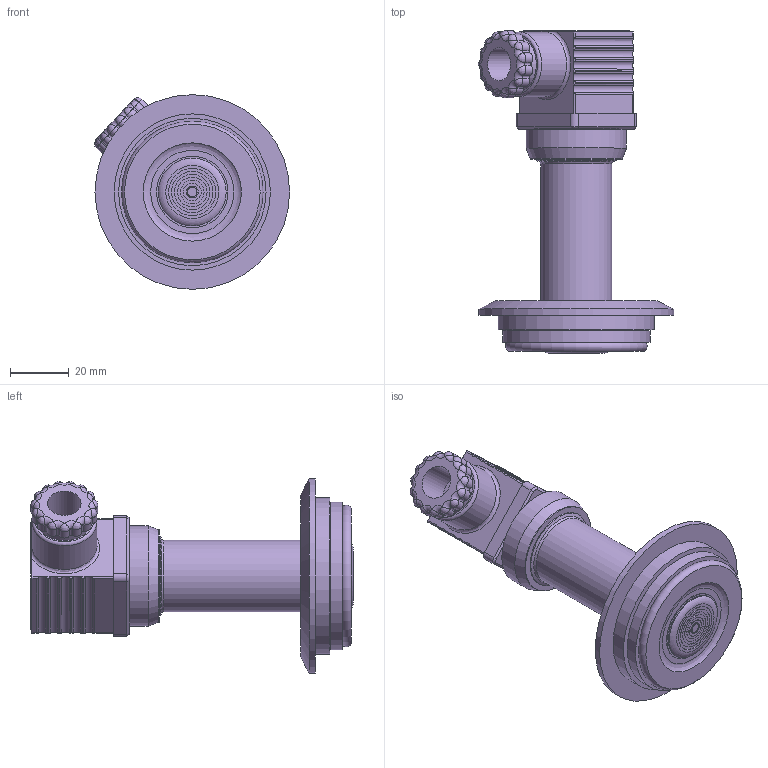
import cadquery as cq
import math


tube_diameter = 24.2
flange_diameter = 66.0
flange_cone_end_diameter = 54.8
flange_rear_y = 17.75
flange_cone_y = 15.0
flange_front_y = 12.9
large_step_diameter = 53.0
large_step_y = 7.95
small_step_diameter = 50.0
small_step_y = 3.7
small_step_top_y = 7.65
step_groove_diameter = 49.0
plug_face_diameter = 46.0
plug_bulge_diameter = 48.0
plug_bulge_y = 2.4
plug_foot_diameter = 47.0
plug_face_y = 0.7

recess_diameter = 33.3
recess_floor_diameter = 28.2
recess_wall_radius = 3.2
recess_floor_y = 1.7
boss_diameter = 23.0
boss_flat_diameter = 18.0
boss_edge_radius = 3.5
boss_foot_diameter = 24.2
boss_foot_y = 1.5
membrane_groove_radii = [(1.6, 2.0), (3.0, 4.0), (5.0, 6.0), (7.0, 8.0)]
membrane_groove_depth = 0.1

collar_diameter = 34.0
collar_small_diameter = 31.3
collar_neck_diameter = 27.0
collar_ledge_diameter = 25.0
collar_gap_diameter = 33.0
collar_top_y = 76.05
collar_gap_y = 75.8
collar_cone_y = 69.6
collar_rim_y = 66.05
collar_bottom_y = 65.75
collar_neck_y = 65.4
collar_ledge_y = 65.0
tube_end_y = 64.2

base_side = 30.0
base_corner_radius = 2.0
base_chamfer = 0.7
base_top_y = 81.3
block_side = 27.7
block_corner_radius = 0.5
lid_side = 27.2
lid_corner_radius = 3.0
lid_height = 0.42
connector_top_y = 109.38
block_top_y = connector_top_y - lid_height

groove_count = 5
groove_pitch = 3.95
groove_middle_y = 97.6
groove_width = 3.75
groove_depth = 0.7
groove_bottom_radius = 1.83

gland_y = 97.97
gland_diameter = 21.9
gland_end_z = 27.5
gland_edge_radius = 1.0
gland_root_radius = 1.0
neck_diameter = 18.8
knob_start_z = 30.9
knob_end_z = 36.0
cable_hole_diameter = 11.3
cable_hole_depth = 14.0
connector_turn = -46.7

lobe_count = 15
lobe_radius = 2.0
lobe_circle_radius = 9.42
valley_radius = 0.7
lobe_edge_radius = 1.98
first_lobe_angle = 180.0


def polar(radius, angle):
    """Point at a radius and an angle in degrees."""
    return (radius * math.cos(math.radians(angle)), radius * math.sin(math.radians(angle)))


def make_sensor():
    """Flange, tube and collar as one turned body about Y."""
    profile = (
        cq.Workplane("XY")
        .moveTo(0, recess_floor_y)
        .lineTo(recess_floor_diameter / 2, recess_floor_y)
        .radiusArc((recess_diameter / 2, plug_face_y), recess_wall_radius)
        .lineTo(plug_face_diameter / 2, plug_face_y)
        .threePointArc((plug_bulge_diameter / 2, plug_bulge_y), (plug_foot_diameter / 2, small_step_y))
        .lineTo(small_step_diameter / 2, small_step_y)
        .lineTo(small_step_diameter / 2, small_step_top_y)
        .lineTo(step_groove_diameter / 2, small_step_top_y)
        .lineTo(step_groove_diameter / 2, large_step_y)
        .lineTo(large_step_diameter / 2, large_step_y)
        .lineTo(large_step_diameter / 2, flange_front_y)
        .lineTo(flange_diameter / 2, flange_front_y)
        .lineTo(flange_diameter / 2, flange_cone_y)
        .lineTo(flange_cone_end_diameter / 2, flange_rear_y)
        .lineTo(tube_diameter / 2, flange_rear_y)
        .lineTo(tube_diameter / 2, tube_end_y)
        .lineTo(collar_ledge_diameter / 2, collar_ledge_y)
        .lineTo(collar_neck_diameter / 2, collar_neck_y)
        .lineTo(collar_neck_diameter / 2, collar_bottom_y)
        .lineTo(collar_small_diameter / 2, collar_bottom_y)
        .lineTo(collar_small_diameter / 2, collar_rim_y)
        .lineTo(collar_diameter / 2, collar_cone_y)
        .lineTo(collar_diameter / 2, collar_gap_y)
        .lineTo(collar_gap_diameter / 2, collar_gap_y)
        .lineTo(collar_gap_diameter / 2, collar_top_y)
        .lineTo(0, collar_top_y)
        .close()
    )
    body = profile.revolve(360, (0, 0, 0), (0, 1, 0))
    return body.union(make_membrane_boss())


def make_membrane_boss():
    """Rounded boss in the recess, with shallow ring grooves in its face."""
    boss_edge_width = (boss_diameter - boss_flat_diameter) / 2
    boss_edge_height = boss_edge_radius - math.sqrt(boss_edge_radius**2 - boss_edge_width**2)
    boss = (
        cq.Workplane("XY")
        .lineTo(boss_flat_diameter / 2, 0)
        .radiusArc((boss_diameter / 2, boss_edge_height), -boss_edge_radius)
        .lineTo(boss_diameter / 2, boss_foot_y)
        .lineTo(boss_foot_diameter / 2, boss_foot_y)
        .lineTo(boss_foot_diameter / 2, flange_front_y)
        .lineTo(0, flange_front_y)
        .close()
        .revolve(360, (0, 0, 0), (0, 1, 0))
    )
    for inner_radius, outer_radius in membrane_groove_radii:
        ring = (
            cq.Workplane("XZ")
            .circle(outer_radius)
            .circle(inner_radius)
            .extrude(-membrane_groove_depth)
        )
        boss = boss.cut(ring)
    return boss


def square_block(side, corner_radius, start_y, end_y):
    """Square prism along Y with rounded corners."""
    return (
        cq.Workplane("XZ", origin=(0, start_y, 0))
        .rect(side, side)
        .extrude(start_y - end_y)
        .edges("|Y")
        .fillet(corner_radius)
    )


def grip_groove(middle_y):
    """Wave-shaped groove through the +X side of the block, with rounded ridges."""
    face_x = block_side / 2
    half_width = groove_width / 2
    radius_sum = (half_width**2 + groove_depth**2) / (2 * groove_depth)
    ridge_radius = radius_sum - groove_bottom_radius
    tangent_share = ridge_radius / radius_sum
    tangent_x = face_x - groove_depth * tangent_share
    tangent_y = half_width * (1 - tangent_share)
    return (
        cq.Workplane("XY", origin=(0, middle_y, -block_side))
        .moveTo(face_x, -half_width)
        .radiusArc((tangent_x, -tangent_y), -ridge_radius)
        .radiusArc((tangent_x, tangent_y), groove_bottom_radius)
        .radiusArc((face_x, half_width), -ridge_radius)
        .close()
        .extrude(2 * block_side)
    )


def make_block():
    """Square base, grooved block and thin lid of the connector."""
    base = square_block(base_side, base_corner_radius, collar_top_y, base_top_y)
    base = base.faces("<Y").edges().chamfer(base_chamfer)
    block = square_block(block_side, block_corner_radius, base_top_y, block_top_y)
    lid = square_block(lid_side, lid_corner_radius, block_top_y, connector_top_y)
    for index in range(groove_count):
        offset = (index - (groove_count - 1) / 2) * groove_pitch
        groove = grip_groove(groove_middle_y + offset)
        block = block.cut(groove).cut(groove.mirror("YZ"))
    return base.union(block).union(lid)


def make_gland():
    """Turned gland barrel with a flared root and a neck below the knob."""
    face_z = block_side / 2
    barrel_radius = gland_diameter / 2
    barrel = (
        cq.Workplane("XZ")
        .lineTo(barrel_radius + gland_root_radius, 0)
        .lineTo(barrel_radius + gland_root_radius, face_z)
        .radiusArc((barrel_radius, face_z + gland_root_radius), gland_root_radius)
        .lineTo(barrel_radius, gland_end_z - gland_edge_radius)
        .radiusArc((barrel_radius - gland_edge_radius, gland_end_z), -gland_edge_radius)
        .lineTo(neck_diameter / 2, gland_end_z)
        .lineTo(neck_diameter / 2, knob_start_z)
        .lineTo(0, knob_start_z)
        .close()
        .revolve(360, (0, 0, 0), (0, 1, 0))
        .translate((0, gland_y, 0))
    )
    below_top = cq.Workplane("XY").box(
        base_side, block_top_y - base_top_y, knob_start_z, centered=(True, False, False)
    ).translate((0, base_top_y, 0))
    return barrel.intersect(below_top)


def make_knob():
    """Lobed knob whose outer edge is rounded into domes over the lobes."""
    step = 360 / lobe_count
    half_gap = lobe_circle_radius * math.sin(math.radians(step / 2))
    lean = math.degrees(math.asin(half_gap / (lobe_radius + valley_radius)))
    lobe_half_angle = lean + step / 2
    valley_circle_radius = (
        lobe_circle_radius * math.cos(math.radians(step / 2))
        + (lobe_radius + valley_radius) * math.cos(math.radians(lean))
    )

    def on_lobe(lobe_angle, angle_from_radial):
        centre = polar(lobe_circle_radius, lobe_angle)
        reach = polar(lobe_radius, lobe_angle + angle_from_radial)
        return (centre[0] + reach[0], centre[1] + reach[1])

    outline = cq.Workplane("XY", origin=(0, gland_y, knob_start_z))
    outline = outline.moveTo(*on_lobe(first_lobe_angle, -lobe_half_angle))
    for index in range(lobe_count):
        angle = first_lobe_angle + index * step
        valley_bottom = polar(valley_circle_radius - valley_radius, angle + step / 2)
        outline = outline.threePointArc(on_lobe(angle, 0), on_lobe(angle, lobe_half_angle))
        outline = outline.threePointArc(valley_bottom, on_lobe(angle + step, -lobe_half_angle))
    knob = outline.close().extrude(knob_end_z - knob_start_z)
    return knob.faces(">Z").edges().fillet(lobe_edge_radius)


def make_connector():
    """Block, gland and knob joined, bored for the cable and turned into place."""
    cable_hole = (
        cq.Workplane("XY", origin=(0, gland_y, knob_end_z))
        .circle(cable_hole_diameter / 2)
        .extrude(-cable_hole_depth)
    )
    body = make_block().union(make_gland()).union(make_knob()).cut(cable_hole)
    return body.rotate((0, 0, 0), (0, 1, 0), connector_turn)


sensor = make_sensor()
connector = make_connector()

result = cq.Compound.makeCompound([sensor.val(), connector.val()])